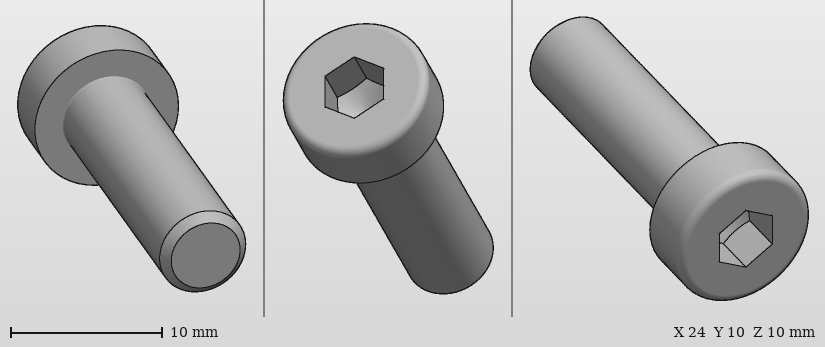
import cadquery as cq
import math

total_length = 24.0
head_diameter = 10.0
head_height = 4.0
head_edge_radius = 0.6
shank_diameter = 6.0
tip_chamfer = 0.6
underhead_radius = 0.07

socket_width = 4.0
socket_depth = 3.0
cone_angle = 120.0

socket_corner_diameter = socket_width / math.cos(math.radians(30))
cone_height = socket_corner_diameter / 2 / math.tan(math.radians(cone_angle / 2))


def make_head():
    head = cq.Workplane("YZ").circle(head_diameter / 2).extrude(head_height)
    return head.faces("<X").edges().fillet(head_edge_radius)


def make_shank():
    shank = (
        cq.Workplane("YZ", origin=(head_height, 0, 0))
        .circle(shank_diameter / 2)
        .extrude(total_length - head_height)
    )
    return shank.faces(">X").edges().chamfer(tip_chamfer)


def make_socket_cutter():
    prism = (
        cq.Workplane("YZ")
        .polygon(6, socket_corner_diameter)
        .extrude(socket_depth + cone_height)
        .rotate((0, 0, 0), (1, 0, 0), 90)
    )
    cone_ended_bar = (
        cq.Workplane("XY")
        .polyline([
            (0, 0),
            (socket_depth + cone_height, 0),
            (socket_depth, socket_corner_diameter / 2),
            (0, socket_corner_diameter / 2),
        ])
        .close()
        .revolve(360, (0, 0, 0), (1, 0, 0))
    )
    return prism.intersect(cone_ended_bar)


def fillet_under_head(screw):
    junction = cq.selectors.RadiusNthSelector(0)
    underside = screw.faces(cq.selectors.NearestToPointSelector(
        (head_height, 0, (head_diameter + shank_diameter) / 4)
    ))
    return underside.edges(junction).fillet(underhead_radius)


screw_body = fillet_under_head(make_head().union(make_shank()))
result = screw_body.cut(make_socket_cutter())